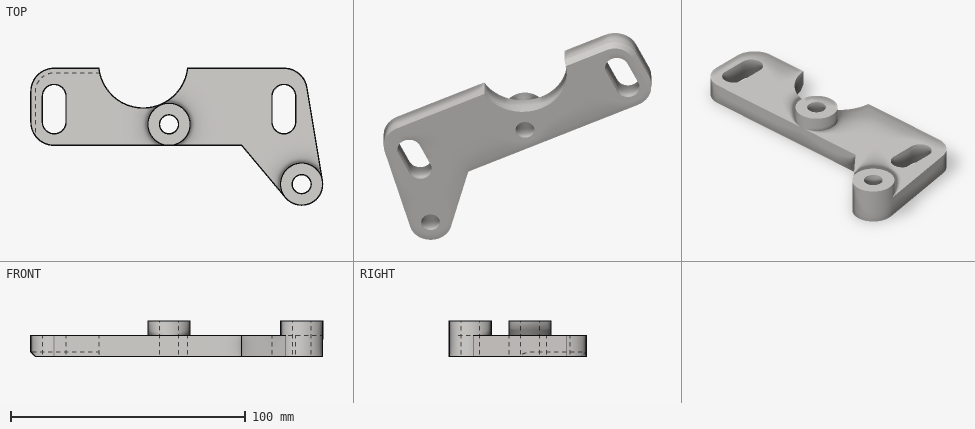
import cadquery as cq
import math

plate_depth = 33.0
plate_thickness = 9.0
corner_radius = 10.0
edge_chamfer = 2.0
elbow = (90.0, 0.0)

slot_length = 21.0
slot_width = 10.0
slot_margin = 5.0
slot_spacing = 98.0
left_slot_x = slot_margin + slot_width / 2
right_slot_x = left_slot_x + slot_spacing
slot_y = slot_margin + slot_length / 2

boss_radius = 9.0
hole_diameter = 8.0
boss_top = 15.25
middle_boss = (59.0, boss_radius)
arm_boss = (115.59, -16.52)

notch_radius = 19.0
notch_center = (48.0, plate_depth + 2.0)

back_arc_y = plate_depth - corner_radius
back_left = (corner_radius, back_arc_y)
back_right = (right_slot_x, back_arc_y)


def on_circle(center, radius, angle):
    """Point on a circle at an angle in radians."""
    return (center[0] + radius * math.cos(angle), center[1] + radius * math.sin(angle))


def distance_and_angle(start, end):
    """Distance between two points and the direction from start to end."""
    dx = end[0] - start[0]
    dy = end[1] - start[1]
    return math.hypot(dx, dy), math.atan2(dy, dx)


def make_plate():
    """Plate whose arm sides run tangent to the arm boss."""
    span, heading = distance_and_angle(back_right, arm_boss)
    side_normal = heading + math.acos((corner_radius - boss_radius) / span)

    span, heading = distance_and_angle(elbow, arm_boss)
    lower_normal = heading - math.pi / 2 - math.asin(boss_radius / span)

    boss_mid_angle = (side_normal + lower_normal) / 2
    corner_mid_angle = (side_normal + math.pi / 2) / 2
    return (
        cq.Workplane("XY")
        .moveTo(0, plate_depth)
        .lineTo(0, 0)
        .lineTo(*elbow)
        .lineTo(*on_circle(arm_boss, boss_radius, lower_normal))
        .threePointArc(
            on_circle(arm_boss, boss_radius, boss_mid_angle),
            on_circle(arm_boss, boss_radius, side_normal),
        )
        .lineTo(*on_circle(back_right, corner_radius, side_normal))
        .threePointArc(
            on_circle(back_right, corner_radius, corner_mid_angle),
            on_circle(back_right, corner_radius, math.pi / 2),
        )
        .close()
        .extrude(plate_thickness)
    )


def cut_notch(body):
    """Round notch open to the back edge."""
    notch = cq.Workplane("XY").center(*notch_center).circle(notch_radius).extrude(plate_thickness)
    return body.cut(notch)


def finish_left_end(body):
    """Round the left corners and chamfer the bottom edge from the front left corner to the notch."""
    body = body.edges(cq.selectors.NearestToPointSelector((0, plate_depth, plate_thickness / 2)))
    body = body.fillet(corner_radius)

    body = body.edges(cq.selectors.NearestToPointSelector((0, plate_depth / 2, 0)))
    body = body.chamfer(edge_chamfer)

    body = body.edges("|Z").edges(cq.selectors.NearestToPointSelector((0, 0, plate_thickness / 2)))
    return body.fillet(corner_radius)


def add_bosses(body):
    """Round bosses rising from the bottom face, each with a through hole."""
    places = [middle_boss, arm_boss]
    bosses = cq.Workplane("XY").pushPoints(places).circle(boss_radius).extrude(boss_top)
    holes = cq.Workplane("XY").pushPoints(places).circle(hole_diameter / 2).extrude(boss_top)
    return body.union(bosses).cut(holes)


def cut_slots(body):
    """Mounting slot at each end of the plate."""
    slots = (
        cq.Workplane("XY")
        .pushPoints([(left_slot_x, slot_y), (right_slot_x, slot_y)])
        .slot2D(slot_length, slot_width, 90)
        .extrude(plate_thickness)
    )
    return body.cut(slots)


result = make_plate()
result = cut_notch(result)
result = finish_left_end(result)
result = add_bosses(result)
result = cut_slots(result)